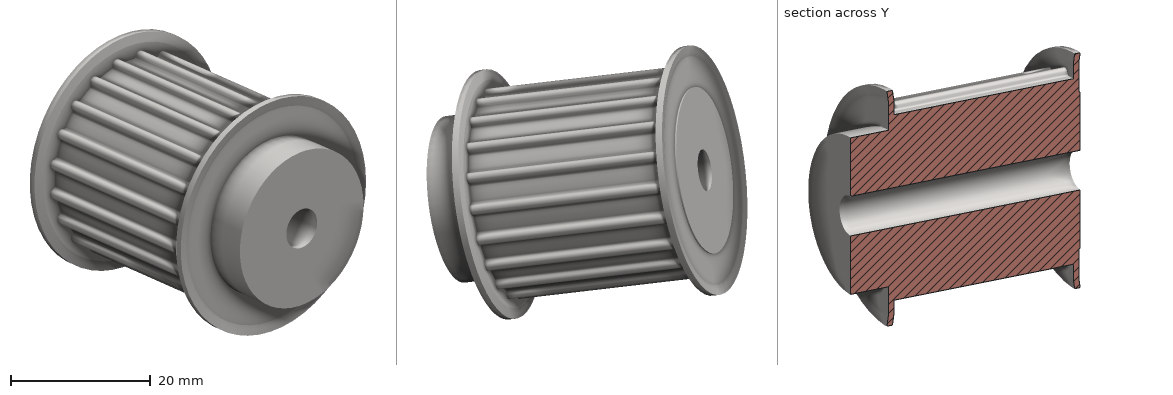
import cadquery as cq
import math

total_length = 38.0
toothed_width = 32.0
hub_diameter = 24.0
bore_diameter = 6.0

flange_diameter = 36.0
flange_bend_diameter = 33.0
flange_thickness = 1.0
flange_bend_offset = 0.23

tooth_count = 20
tip_radius = 15.3
root_radius = 14.2
groove_bottom_width = 2.65
groove_flank_angle = 25.0
root_fillet = 0.38
tip_fillet = 0.72
groove_overshoot = 0.38

flange_radius = flange_diameter / 2
flange_bend_radius = flange_bend_diameter / 2
teeth_start = flange_bend_offset + flange_thickness
teeth_length = toothed_width - 2 * teeth_start


def cylinder_along_x(start, length, radius):
    return cq.Workplane("YZ").workplane(offset=start).circle(radius).extrude(length)


def sharp_groove():
    """Trapezoidal groove centred on +Y, reaching past the tooth tips."""
    bottom_half_width = groove_bottom_width / 2
    floor = math.sqrt(root_radius**2 - bottom_half_width**2)
    top = tip_radius + groove_overshoot
    top_half_width = bottom_half_width + (top - floor) * math.tan(math.radians(groove_flank_angle))
    outline = (
        cq.Workplane("YZ")
        .workplane(offset=teeth_start)
        .moveTo(floor, -bottom_half_width)
        .threePointArc((root_radius, 0), (floor, bottom_half_width))
        .lineTo(top, top_half_width)
        .lineTo(top, -top_half_width)
        .close()
    )
    return outline.extrude(teeth_length)


def edges_at_radius(body, radius):
    """Edges running along X at the given distance from the axis."""
    tolerance = 0.005

    def is_at_radius(edge):
        centre = edge.Center()
        return abs(math.hypot(centre.y, centre.z) - radius) < tolerance

    return body.edges("|X").filter(is_at_radius)


def toothed_rim():
    rim = cylinder_along_x(teeth_start, teeth_length, tip_radius)
    groove = sharp_groove()
    for index in range(tooth_count):
        angle = index * 360 / tooth_count
        rim = rim.cut(groove.rotate((0, 0, 0), (1, 0, 0), angle))
    rim = edges_at_radius(rim, root_radius).fillet(root_fillet)
    return edges_at_radius(rim, tip_radius).fillet(tip_fillet)


def flange(rim_face, inward):
    """Disc whose rim starts at rim_face; inward is the X direction towards the teeth."""
    bent_face = rim_face + inward * flange_bend_offset
    thickness = inward * flange_thickness
    profile = [
        (bent_face, 0),
        (bent_face, flange_bend_radius),
        (rim_face, flange_radius),
        (rim_face + thickness, flange_radius),
        (bent_face + thickness, flange_bend_radius),
        (bent_face + thickness, 0),
    ]
    return cq.Workplane("XY").polyline(profile).close().revolve(360, (0, 0, 0), (1, 0, 0))


hub = cylinder_along_x(0, total_length, hub_diameter / 2)
bore = cylinder_along_x(0, total_length, bore_diameter / 2)

result = (
    toothed_rim()
    .union(flange(0, 1))
    .union(flange(toothed_width, -1))
    .union(hub)
    .cut(bore)
)